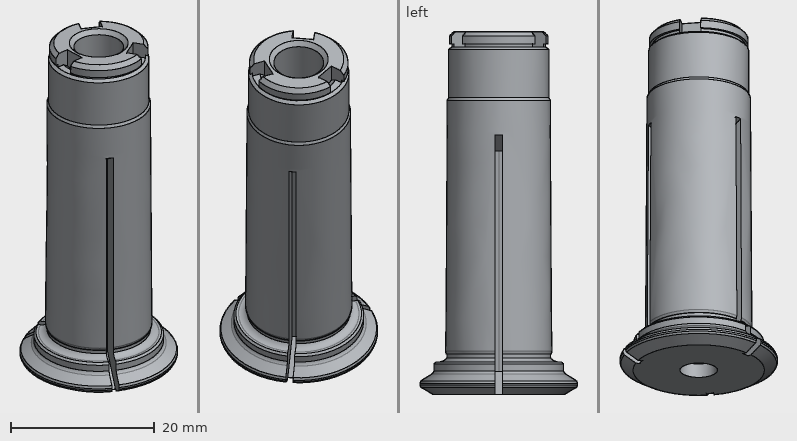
import cadquery as cq
length = 50.5
sector_count = 3

flange_radius = 10.985
flange_base_radius = 9.15
rim_bottom = 1.3
rim_top = 1.55
rim_blend_radial = 0.15
rim_bottom_blend = 0.3
rim_top_blend = 0.35

ring_radius = 9.05
ring_bottom = 3.3
ring_top = 4.55
ring_chamfer = 0.3
flare_blend_radius = 9.4
flare_blend_height = 2.85

undercut_radius = 7.2
undercut_top = 5.65
undercut_bottom = 5.1
undercut_blend_radius = 8.4

body_foot_radius = 7.4
body_foot = 6.05
body_foot_chamfer = 0.1
body_shoulder_radius = 7.2
body_shoulder = 40.9

spigot_radius = 14.0 / 2
spigot_bottom = 41.3
spigot_top = 48.05

neck_radius = 6.5
neck_bottom = 48.4
head_radius = 6.85
head_bottom = 48.8
head_chamfer = 0.6

bore_diameter = 5.2
counterbore_diameter = 6.9
counterbore_mouth_diameter = 8.2
counterbore_mouth_depth = 0.6
counterbore_floor = 2.0

notch_width = 3.05
notch_wall = 4.55
notch_floor = neck_bottom
notch_dip_radius = 10.9 / 2
notch_dip_depth = 0.6

slot_width = 1.0
slot_top = 36.2
slot_top_inner = 33.9
slot_base_radius = 8.6
slot_base_inner = 3.25
slot_depth_radius = counterbore_diameter / 2
slot_first_angle = 60.0
sector_angle = 360.0 / sector_count
clearance = 2.5


def turned_blank():
    """Solid of revolution that carries the whole outer shape."""
    profile = (
        cq.Workplane("XZ")
        .moveTo(0, 0)
        .lineTo(flange_base_radius, 0)
        .lineTo(flange_radius - rim_blend_radial, rim_bottom - rim_bottom_blend)
        .lineTo(flange_radius, rim_bottom)
        .lineTo(flange_radius, rim_top)
        .lineTo(flange_radius - rim_blend_radial, rim_top + rim_top_blend)
        .lineTo(flare_blend_radius, flare_blend_height)
        .tangentArcPoint((ring_radius, ring_bottom), relative=False)
        .lineTo(ring_radius, ring_top - ring_chamfer)
        .lineTo(ring_radius - ring_chamfer, ring_top)
        .lineTo(undercut_blend_radius, ring_top)
        .tangentArcPoint((undercut_radius, undercut_bottom), relative=False)
        .lineTo(undercut_radius, undercut_top)
        .lineTo(body_foot_radius - body_foot_chamfer, undercut_top)
        .lineTo(body_foot_radius, body_foot)
        .lineTo(body_shoulder_radius, body_shoulder)
        .lineTo(spigot_radius, spigot_bottom)
        .lineTo(spigot_radius, spigot_top)
        .lineTo(neck_radius, neck_bottom)
        .lineTo(neck_radius, head_bottom)
        .lineTo(head_radius, head_bottom)
        .lineTo(head_radius, length - head_chamfer)
        .lineTo(head_radius - head_chamfer, length)
        .lineTo(0, length)
        .close()
    )
    return profile.revolve(360, (0, 0), (0, 1))


def bore():
    """Through bore, widened from the top down to a thin floor, with a chamfered mouth."""
    profile = (
        cq.Workplane("XZ")
        .moveTo(0, 0)
        .lineTo(bore_diameter / 2, 0)
        .lineTo(bore_diameter / 2, counterbore_floor)
        .lineTo(counterbore_diameter / 2, counterbore_floor)
        .lineTo(counterbore_diameter / 2, length - counterbore_mouth_depth)
        .lineTo(counterbore_mouth_diameter / 2, length)
        .lineTo(0, length)
        .close()
    )
    return profile.revolve(360, (0, 0), (0, 1))


def radial_prism(points, width):
    """Radius-height outline extruded to a width centred on the XZ plane."""
    return cq.Workplane("XZ").polyline(points).close().extrude(width / 2, both=True)


def slot():
    """Slot through the wall into the bore, with both ends sloping inwards."""
    inner = slot_depth_radius
    outer = flange_radius + clearance
    return radial_prism(
        [
            (slot_base_radius, 0),
            (inner, slot_base_inner),
            (inner, slot_top_inner),
            (body_foot_radius, slot_top),
            (outer, slot_top),
            (outer, 0),
        ],
        slot_width,
    )


def notch():
    """Head notch whose floor dips conically towards its back wall."""
    outer = head_radius + clearance
    dip_floor = notch_floor - notch_dip_depth
    block = radial_prism(
        [(notch_wall, length), (notch_wall, dip_floor), (outer, dip_floor), (outer, length)],
        notch_width,
    )
    dip = (
        cq.Workplane("XZ")
        .moveTo(0, dip_floor)
        .lineTo(notch_wall, dip_floor)
        .lineTo(notch_dip_radius, notch_floor)
        .lineTo(outer, notch_floor)
        .lineTo(outer, length)
        .lineTo(0, length)
        .close()
        .revolve(360, (0, 0), (0, 1))
    )
    return block.intersect(dip)


result = turned_blank().cut(bore())
for index in range(sector_count):
    turn = index * sector_angle
    result = result.cut(notch().rotate((0, 0, 0), (0, 0, 1), turn))
    result = result.cut(slot().rotate((0, 0, 0), (0, 0, 1), turn + slot_first_angle))